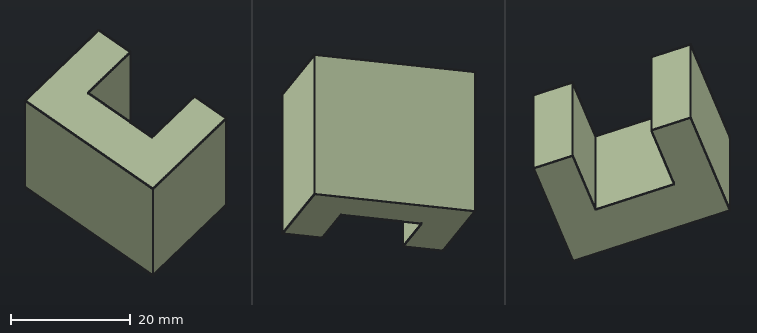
import cadquery as cq

width = 28.0
depth = 19.0
height = 25.0

slot_width = width / 2
slot_depth = 11.0

block = cq.Workplane("XY").box(width, depth, height)

slot = (
    cq.Workplane("XY")
    .box(slot_width, slot_depth, height)
    .translate((0, (depth - slot_depth) / 2, 0))
)

result = block.cut(slot)